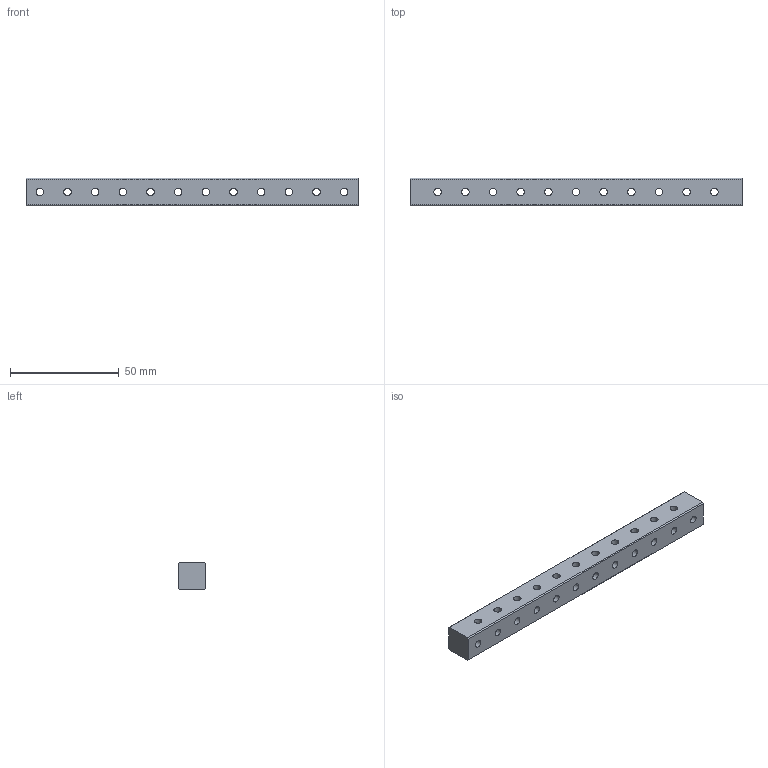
import cadquery as cq

pitch = 12.7
cell_count = 12
bar_width = pitch
bar_length = cell_count * pitch
edge_chamfer = 0.5
hole_diameter = 3.46


def make_bar():
    """Square bar along X with its four long edges chamfered."""
    bar = cq.Workplane("XY").box(bar_length, bar_width, bar_width)
    return bar.edges("|X").chamfer(edge_chamfer)


def drill_row(bar, face, count):
    """Drill a centred row of through holes along X, square to the given face."""
    row = bar.faces(face).workplane(centerOption="CenterOfBoundBox")
    return row.rarray(pitch, pitch, count, 1).hole(hole_diameter)


result = make_bar()
result = drill_row(result, "<Y", cell_count)
result = drill_row(result, ">Z", cell_count - 1)